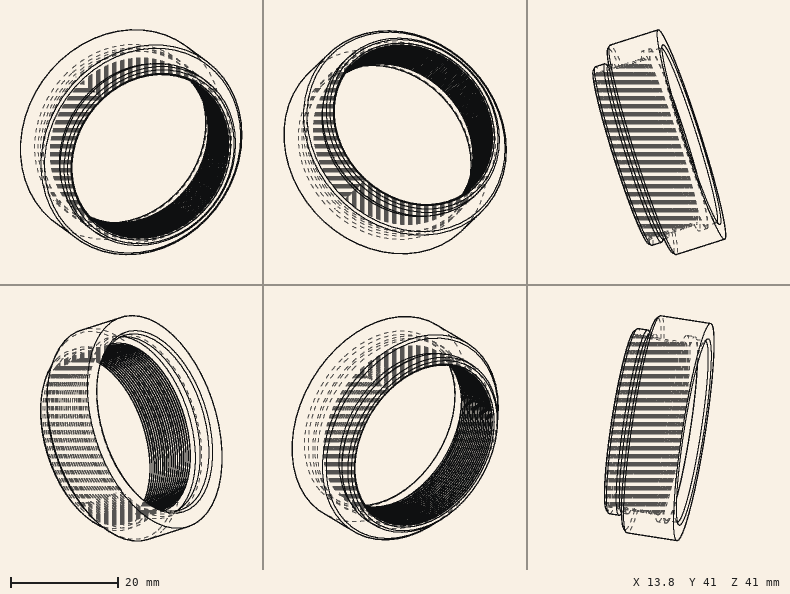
import cadquery as cq
import math

total_length = 13.8
body_length = 9.95
chamfer = 0.5

body_diameter = 41.0
lip_diameter = 35.0
neck_diameter = 34.0
neck_length = 1.0

mouth_diameter = 35.2
socket_diameter = 34.2
relief_diameter = 35.2
relief_start = 2.55
socket_depth = 4.05

bore_diameter = 32.0
groove_diameter = 32.6
first_groove_center = 4.25
groove_floor = 0.075
groove_flank_angle = 30.0
full_groove_count = 19
groove_pitch = (total_length - first_groove_center) / full_groove_count


def outer_body():
    body_radius = body_diameter / 2
    neck_radius = neck_diameter / 2
    lip_radius = lip_diameter / 2
    lip_start = body_length + neck_length
    lip_flank = lip_radius - neck_radius
    return (
        cq.Workplane("XY")
        .moveTo(0, 0)
        .lineTo(0, body_radius)
        .lineTo(body_length - chamfer, body_radius)
        .lineTo(body_length, body_radius - chamfer)
        .lineTo(body_length, neck_radius)
        .lineTo(lip_start, neck_radius)
        .lineTo(lip_start + lip_flank, lip_radius)
        .lineTo(total_length - chamfer, lip_radius)
        .lineTo(total_length, lip_radius - chamfer)
        .lineTo(total_length, 0)
        .close()
        .revolve(360, (0, 0, 0), (1, 0, 0))
    )


def inner_space():
    """Socket and grooved bore as one solid of revolution."""
    mouth_radius = mouth_diameter / 2
    socket_radius = socket_diameter / 2
    relief_radius = relief_diameter / 2
    bore_radius = bore_diameter / 2
    groove_radius = groove_diameter / 2
    profile = (
        cq.Workplane("XY")
        .moveTo(0, 0)
        .lineTo(0, mouth_radius)
        .lineTo(mouth_radius - socket_radius, socket_radius)
        .lineTo(relief_start, socket_radius)
        .lineTo(relief_start, relief_radius)
        .lineTo(socket_depth, relief_radius)
        .lineTo(socket_depth, bore_radius)
    )
    half_floor = groove_floor / 2
    flank_width = (groove_radius - bore_radius) * math.tan(math.radians(groove_flank_angle))
    half_mouth = half_floor + flank_width
    for i in range(full_groove_count):
        center = first_groove_center + i * groove_pitch
        profile = (
            profile.lineTo(center - half_mouth, bore_radius)
            .lineTo(center - half_floor, groove_radius)
            .lineTo(center + half_floor, groove_radius)
            .lineTo(center + half_mouth, bore_radius)
        )
    return (
        profile.lineTo(total_length - half_mouth, bore_radius)
        .lineTo(total_length - half_floor, groove_radius)
        .lineTo(total_length, groove_radius)
        .lineTo(total_length, 0)
        .close()
        .revolve(360, (0, 0, 0), (1, 0, 0))
    )


result = outer_body().cut(inner_space())